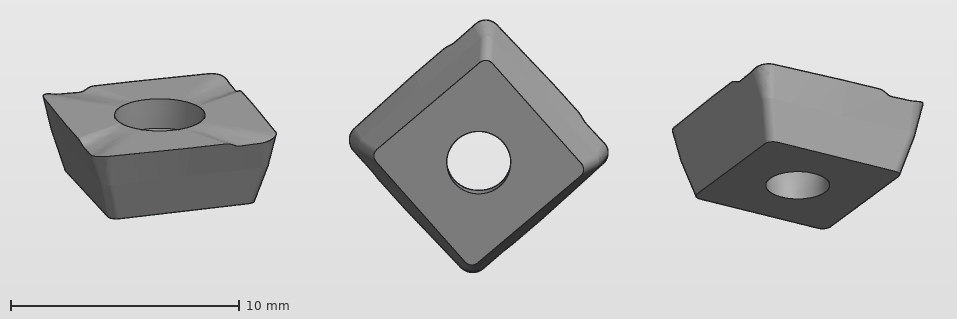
import cadquery as cq
import math

thickness = 3.3
waist_height = 1.8

bottom_half_width = 3.37
lower_corner_radius = 0.4
clearance_angle = 15.0
waist_half_width = bottom_half_width + waist_height * math.tan(math.radians(clearance_angle))
top_half_width = 4.29
top_corner_radius = 0.75

top_corner_gain = 0.03
top_corner_loss = 0.15

hole_rim_radius = 1.98
seat_radius = 1.90
seat_depth = 1.35
throat_radius = 1.74
bore_radius = 1.40
seat_half_angle = math.radians(30.0)
seat_height = (seat_radius - throat_radius) / math.tan(seat_half_angle)
throat_curve_radius = (throat_radius - bore_radius) / (1 - math.cos(seat_half_angle))

dip_depth = 0.19
dip_shoulder_depth = 0.17
dip_start = 1.6
dip_floor_start = 2.1
dip_floor_end = 3.5
dip_end = 3.7
dip_inner_start_angle = 103.0
dip_inner_end_angle = 133.0
dip_overrun = 1.3

side_count = 4
quarter_turn = 90.0
corner_reach = 1.2


def turned(x, y, height, side):
    """Point moved from the +Y side to another side by whole quarter turns."""
    for _ in range(side):
        x, y = -y, x
    return cq.Vector(x, y, height)


def outline(half_width, gain, loss, radius, height):
    """Rounded four-sided outline with a break point in the middle of each side."""
    points = []
    for side in range(side_count):
        points.append(turned(0, half_width, height, side))
        points.append(turned(loss - half_width, half_width + gain, height, side))
    sharp = cq.Wire.makePolygon(points, close=True)
    corner_limit = corner_reach * half_width
    corners = [v for v in sharp.Vertices() if math.hypot(v.X, v.Y) > corner_limit]
    return sharp.fillet2D(radius, corners)


def body():
    """Lower taper and steeper upper flare, meeting at the waist."""
    bottom = outline(bottom_half_width, 0, 0, lower_corner_radius, 0)
    waist = outline(waist_half_width, 0, 0, lower_corner_radius, waist_height)
    top = outline(top_half_width, top_corner_gain, top_corner_loss, top_corner_radius, thickness)
    lower = cq.Solid.makeLoft([bottom, waist], True)
    upper = cq.Solid.makeLoft([waist, top], True)
    return cq.Workplane(lower).union(cq.Workplane(upper), clean=False)


def screw_hole():
    """Turned cutter for the through hole with its screw seat."""
    seat_top = thickness - seat_depth
    throat_top = seat_top - seat_height
    throat_bottom = throat_top - throat_curve_radius * math.sin(seat_half_angle)
    half_angle = seat_half_angle / 2
    arc_middle = (
        bore_radius + throat_curve_radius * (1 - math.cos(half_angle)),
        throat_bottom + throat_curve_radius * math.sin(half_angle),
    )
    return (
        cq.Workplane("XZ")
        .moveTo(0, 0)
        .lineTo(bore_radius, 0)
        .lineTo(bore_radius, throat_bottom)
        .threePointArc(arc_middle, (throat_radius, throat_top))
        .lineTo(seat_radius, seat_top)
        .lineTo(hole_rim_radius, thickness)
        .lineTo(0, thickness)
        .close()
        .revolve()
    )


def rim_point(angle):
    """Point on the upper hole edge at an angle in degrees from +X."""
    turn = math.radians(angle)
    return cq.Vector(hole_rim_radius * math.cos(turn), hole_rim_radius * math.sin(turn), thickness)


def chip_dip():
    """Smooth trough, open above, that is deepest outside the rim and fades out at the hole."""
    inner_start = rim_point(dip_inner_start_angle)
    inner_end = rim_point(dip_inner_end_angle)
    inner_middle = (inner_start + inner_end) / 2
    floor_middle = (dip_floor_start + dip_floor_end) / 2

    def outer(inner, x, y, depth):
        """Rim point carried past the outer wall along the line from its inner point."""
        return inner + (cq.Vector(x, y, thickness - depth) - inner) * dip_overrun

    profile = cq.Edge.makeSpline(
        [
            outer(inner_start, -dip_start, top_half_width, 0),
            outer(inner_start, -dip_floor_start, top_half_width, dip_shoulder_depth),
            outer(inner_middle, -floor_middle, top_half_width, dip_depth),
            outer(inner_end, -dip_floor_end, top_half_width, dip_shoulder_depth),
            outer(inner_end, -top_half_width, dip_end, 0),
        ],
        tangents=[cq.Vector(-1, 0, 0), cq.Vector(0, -1, 0)],
    )
    floor = cq.Face.makeRuledSurface(profile, cq.Edge.makeLine(inner_start, inner_end))
    return cq.Workplane(cq.Solid.extrudeLinear(floor, cq.Vector(0, 0, thickness)))


result = body()
dip = chip_dip()
for side in range(side_count):
    result = result.cut(dip.rotate((0, 0, 0), (0, 0, 1), side * quarter_turn), clean=False)
result = result.cut(screw_hole(), clean=False)